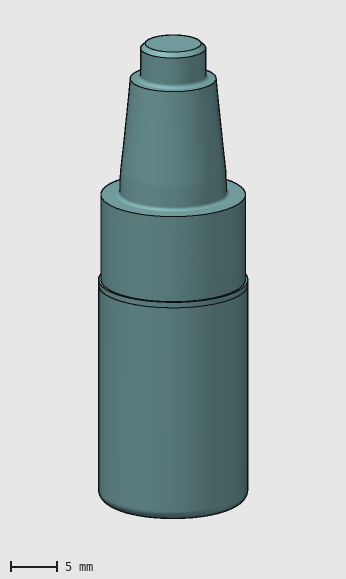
import cadquery as cq

TOTAL_HEIGHT = 51.1

OUTER_RADIUS = 16.0 / 2
CUP_HEIGHT = 23.95
BOTTOM_FILLET = 1.0

FLANGE_THICKNESS = 0.6
SHOULDER_RADIUS = 15.5 / 2
SHOULDER_TOP = 34.15

NECK_FILLET = 0.4
NECK_FOOT_RADIUS = 5.7
NECK_FOOT_HEIGHT = 2.35
CONE_BOTTOM_RADIUS = 5.6
CONE_TOP_RADIUS = 4.6
CONE_TOP = 47.15

TIP_RADIUS = 7.0 / 2
TIP_FILLET = 0.45
TIP_CHAMFER = 0.5


def make_cup():
    """Solid round base with its bottom edge rounded."""
    return cq.Workplane("XY").circle(OUTER_RADIUS).extrude(CUP_HEIGHT).faces("<Z").edges().fillet(BOTTOM_FILLET)


def make_plug():
    """Turned plug: flange, shoulder, tapered neck and tip, revolved about Z."""
    flange_top = CUP_HEIGHT + FLANGE_THICKNESS
    foot_bottom = SHOULDER_TOP + NECK_FILLET
    foot_top = foot_bottom + NECK_FOOT_HEIGHT
    return (
        cq.Workplane("XZ")
        .moveTo(0, CUP_HEIGHT)
        .lineTo(OUTER_RADIUS, CUP_HEIGHT)
        .lineTo(OUTER_RADIUS, flange_top)
        .lineTo(SHOULDER_RADIUS, flange_top)
        .lineTo(SHOULDER_RADIUS, SHOULDER_TOP)
        .lineTo(NECK_FOOT_RADIUS + NECK_FILLET, SHOULDER_TOP)
        .tangentArcPoint((NECK_FOOT_RADIUS, foot_bottom), relative=False)
        .tangentArcPoint((CONE_BOTTOM_RADIUS, foot_top), relative=False)
        .lineTo(CONE_TOP_RADIUS, CONE_TOP)
        .lineTo(TIP_RADIUS + TIP_FILLET, CONE_TOP)
        .tangentArcPoint((TIP_RADIUS, CONE_TOP + TIP_FILLET), relative=False)
        .lineTo(TIP_RADIUS, TOTAL_HEIGHT - TIP_CHAMFER)
        .lineTo(TIP_RADIUS - TIP_CHAMFER, TOTAL_HEIGHT)
        .lineTo(0, TOTAL_HEIGHT)
        .close()
        .revolve(360, (0, 0, 0), (0, 1, 0))
    )


cup = make_cup()
plug = make_plug()
result = cq.Compound.makeCompound([cup.val(), plug.val()])